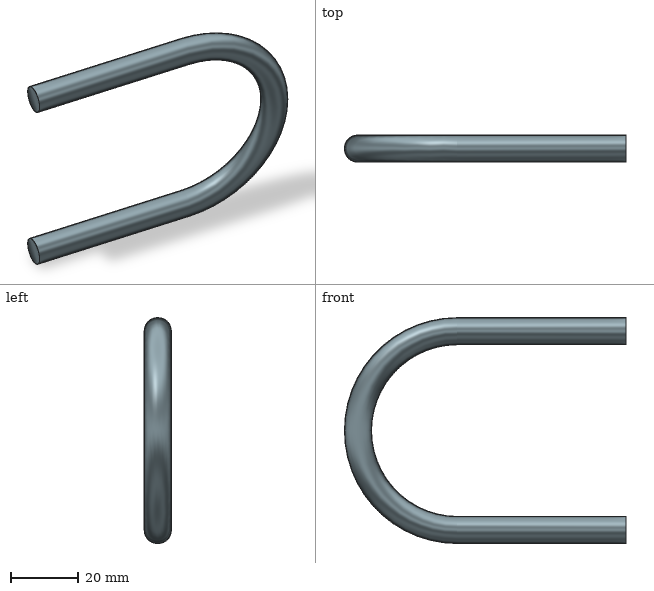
import cadquery as cq

overall_length = 83.5
overall_height = 67.0
rod_diameter = 8.0

rod_radius = rod_diameter / 2
bend_radius = overall_height / 2 - rod_radius
leg_length = overall_length - overall_height / 2

centreline = (
    cq.Workplane("XZ")
    .moveTo(leg_length, -bend_radius)
    .lineTo(0, -bend_radius)
    .threePointArc((-bend_radius, 0), (0, bend_radius))
    .lineTo(leg_length, bend_radius)
)

result = (
    cq.Workplane("YZ", origin=(leg_length, 0, -bend_radius))
    .circle(rod_radius)
    .sweep(centreline)
)